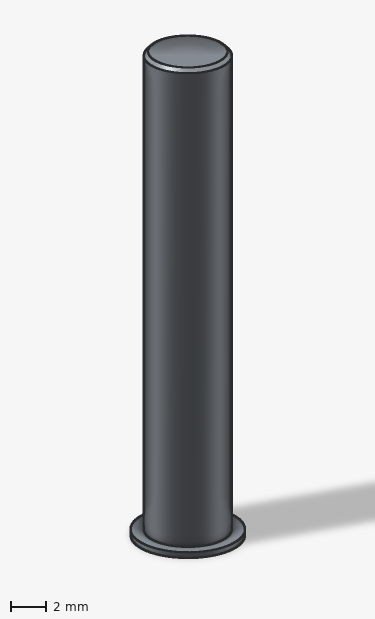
import cadquery as cq

total_height = 30.0
pin_diameter = 5.0
flange_diameter = 6.5
flange_thickness = 0.35
tip_chamfer = 0.25

flange = cq.Workplane("XY").circle(flange_diameter / 2).extrude(flange_thickness)

pin = (
    cq.Workplane("XY")
    .circle(pin_diameter / 2)
    .extrude(total_height)
    .faces(">Z")
    .chamfer(tip_chamfer)
)

result = flange.union(pin)